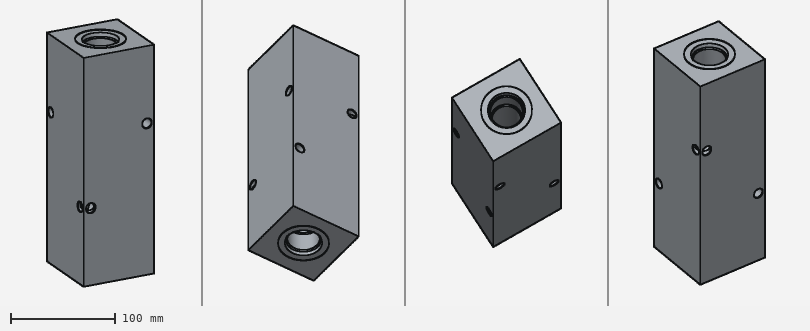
import cadquery as cq
import math

width = 76.1
height = 235.0

spotface_diameter = 48.9
spotface_depth = 0.7
seat_mouth_diameter = 35.7
seat_floor_diameter = 33.5
seat_depth = 3.8
port_diameter = 31.0
port_depth = 25.8
drill_point_angle = 118
bore_diameter = 28.0

mount_diameter = 9.6
mount_chamfer = 0.5
mount_offset = 30.3
mount_height = width / 2


def make_port_cutter():
    """Spotface, tapered seal seat, lead-in and drilled port, revolved at the top end."""
    top = height / 2
    seat_top = top - spotface_depth
    seat_floor = seat_top - seat_depth
    lead_in_end = seat_floor - (seat_floor_diameter - port_diameter) / 2
    port_floor = top - port_depth
    drill_point = port_floor - port_diameter / 2 / math.tan(math.radians(drill_point_angle / 2))
    return (
        cq.Workplane("XZ")
        .moveTo(0, top)
        .lineTo(spotface_diameter / 2, top)
        .lineTo(spotface_diameter / 2, seat_top)
        .lineTo(seat_mouth_diameter / 2, seat_top)
        .lineTo(seat_floor_diameter / 2, seat_floor)
        .lineTo(port_diameter / 2, lead_in_end)
        .lineTo(port_diameter / 2, port_floor)
        .lineTo(0, drill_point)
        .close()
        .revolve(360, (0, 0, 0), (0, 1, 0))
    )


def make_mount_cutter(plane, positions):
    """Round holes running right through the block, normal to the given plane."""
    return (
        cq.Workplane(plane)
        .pushPoints(positions)
        .circle(mount_diameter / 2)
        .extrude(width, both=True)
    )


block = cq.Workplane("XY").box(width, width, height)
bore = cq.Workplane("XY").circle(bore_diameter / 2).extrude(height, both=True)
top_port = make_port_cutter()
bottom_port = top_port.mirror("XY")

holes_along_y = make_mount_cutter(
    "XZ", [(-mount_offset, mount_height), (mount_offset, -mount_height)]
)
holes_along_x = make_mount_cutter(
    "YZ", [(mount_offset, mount_height), (-mount_offset, -mount_height)]
)

result = block
for cutter in (bore, top_port, bottom_port, holes_along_y, holes_along_x):
    result = result.cut(cutter)

result = result.faces("<X or >X or <Y or >Y").edges("%CIRCLE").chamfer(mount_chamfer)